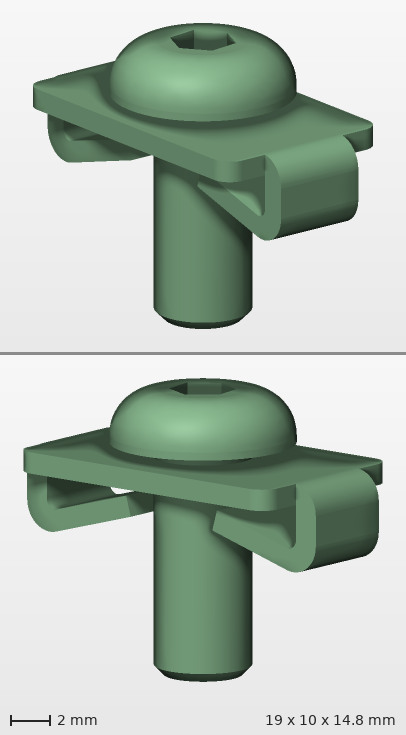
import cadquery as cq
import math

HEAD_DIAMETER = 9.5
HEAD_HEIGHT = 2.75
HEAD_RIM_HEIGHT = 0.4
SHANK_DIAMETER = 5.0
SHANK_LENGTH = 12.0
NECK_FILLET = 0.45
TIP_CHAMFER = 0.5
SOCKET_ACROSS_FLATS = 3.0
SOCKET_DEPTH = 1.56
SOCKET_TURN = 7.0
SOCKET_CONE_ANGLE = 120.0

CLIP_LENGTH = 19.0
CLIP_WIDTH = 10.0
PLATE_LENGTH = 16.4
CLIP_THICKNESS = 1.1
PLATE_CORNER_RADIUS = 1.0
PLATE_HOLE_DIAMETER = 5.2
HEAD_GAP = 0.7
LEG_WIDTH = 5.0
BEND_OUTER_RADIUS = 1.5
BEND_INNER_RADIUS = 0.5
BEND_SPACING = 1.6
LEG_ROOT_OVERLAP = 1.0
LEG_ANGLE = 16.0
LEG_STRAIGHT_LENGTH = 5.1

PLATE_TOP = -HEAD_GAP
PLATE_BOTTOM = PLATE_TOP - CLIP_THICKNESS


def make_socket():
    """Hexagonal key socket with a conical bottom that reaches the hexagon corners."""
    corner_radius = SOCKET_ACROSS_FLATS / math.sqrt(3)
    cone_height = corner_radius / math.tan(math.radians(SOCKET_CONE_ANGLE / 2))
    cone_rim = HEAD_HEIGHT - SOCKET_DEPTH
    hexagon = (
        cq.Workplane("XY", origin=(0, 0, HEAD_HEIGHT))
        .transformed(rotate=(0, 0, 90 + SOCKET_TURN))
        .polygon(6, 2 * corner_radius)
        .extrude(-(SOCKET_DEPTH + cone_height))
    )
    drill = (
        cq.Workplane("XZ")
        .moveTo(0, HEAD_HEIGHT)
        .lineTo(corner_radius, HEAD_HEIGHT)
        .lineTo(corner_radius, cone_rim)
        .lineTo(0, cone_rim - cone_height)
        .close()
        .revolve(360, (0, 0, 0), (0, 1, 0))
    )
    return hexagon.intersect(drill)


def make_screw():
    """Button-head screw turned about Z, with its key socket."""
    head_radius = HEAD_DIAMETER / 2
    shank_radius = SHANK_DIAMETER / 2
    dome_radius = HEAD_HEIGHT - HEAD_RIM_HEIGHT
    blank = (
        cq.Workplane("XZ")
        .moveTo(0, HEAD_HEIGHT)
        .lineTo(head_radius - dome_radius, HEAD_HEIGHT)
        .tangentArcPoint((head_radius, HEAD_RIM_HEIGHT), relative=False)
        .lineTo(head_radius, 0)
        .lineTo(shank_radius + NECK_FILLET, 0)
        .tangentArcPoint((shank_radius, -NECK_FILLET), relative=False)
        .lineTo(shank_radius, TIP_CHAMFER - SHANK_LENGTH)
        .lineTo(shank_radius - TIP_CHAMFER, -SHANK_LENGTH)
        .lineTo(0, -SHANK_LENGTH)
        .close()
        .revolve(360, (0, 0, 0), (0, 1, 0))
    )
    return blank.cut(make_socket())


def make_leg():
    """Spring leg at the +X end: out of the plate, down, and back up towards the screw."""
    outer_x = CLIP_LENGTH / 2
    inner_x = PLATE_LENGTH / 2
    bend_x = outer_x - BEND_OUTER_RADIUS
    root_x = bend_x - LEG_ROOT_OVERLAP
    upper_bend_z = PLATE_TOP - BEND_OUTER_RADIUS
    lower_bend_z = upper_bend_z - BEND_SPACING
    sine = math.sin(math.radians(LEG_ANGLE))
    cosine = math.cos(math.radians(LEG_ANGLE))

    outer_start = (bend_x - BEND_OUTER_RADIUS * sine, lower_bend_z - BEND_OUTER_RADIUS * cosine)
    outer_tip = (
        outer_start[0] - LEG_STRAIGHT_LENGTH * cosine,
        outer_start[1] + LEG_STRAIGHT_LENGTH * sine,
    )
    inner_tip = (outer_tip[0] + CLIP_THICKNESS * sine, outer_tip[1] + CLIP_THICKNESS * cosine)

    inner_bend_x = inner_x - BEND_INNER_RADIUS
    inner_face_run = inner_bend_x - BEND_INNER_RADIUS * sine - inner_tip[0]
    inner_start = (inner_tip[0] + inner_face_run, inner_tip[1] - inner_face_run * sine / cosine)
    inner_bend_z = inner_start[1] + BEND_INNER_RADIUS * cosine

    return (
        cq.Workplane("XZ")
        .moveTo(root_x, PLATE_TOP)
        .lineTo(bend_x, PLATE_TOP)
        .tangentArcPoint((outer_x, upper_bend_z), relative=False)
        .lineTo(outer_x, lower_bend_z)
        .tangentArcPoint(outer_start, relative=False)
        .lineTo(*outer_tip)
        .lineTo(*inner_tip)
        .lineTo(*inner_start)
        .tangentArcPoint((inner_x, inner_bend_z), relative=False)
        .lineTo(inner_x, PLATE_BOTTOM)
        .lineTo(root_x, PLATE_BOTTOM)
        .close()
        .extrude(LEG_WIDTH / 2, both=True)
    )


def make_clip():
    """Plate with a clearance hole for the screw and a spring leg at both ends."""
    plate = (
        cq.Workplane("XY", origin=(0, 0, PLATE_BOTTOM))
        .rect(PLATE_LENGTH, CLIP_WIDTH)
        .extrude(CLIP_THICKNESS)
        .edges("|Z")
        .fillet(PLATE_CORNER_RADIUS)
    )
    bent_envelope = (
        cq.Workplane("XY", origin=(0, 0, PLATE_TOP))
        .rect(CLIP_LENGTH, CLIP_WIDTH)
        .extrude(-2 * BEND_OUTER_RADIUS)
        .faces(">Z")
        .edges("|Y")
        .fillet(BEND_OUTER_RADIUS)
    )
    clip = plate.intersect(bent_envelope)
    for turn in (0, 180):
        clip = clip.union(make_leg().rotate((0, 0, 0), (0, 0, 1), turn))
    hole = (
        cq.Workplane("XY", origin=(0, 0, PLATE_BOTTOM))
        .circle(PLATE_HOLE_DIAMETER / 2)
        .extrude(CLIP_THICKNESS)
    )
    return clip.cut(hole)


screw = make_screw()
clip = make_clip()

result = cq.Compound.makeCompound([screw.solids().val(), clip.solids().val()])